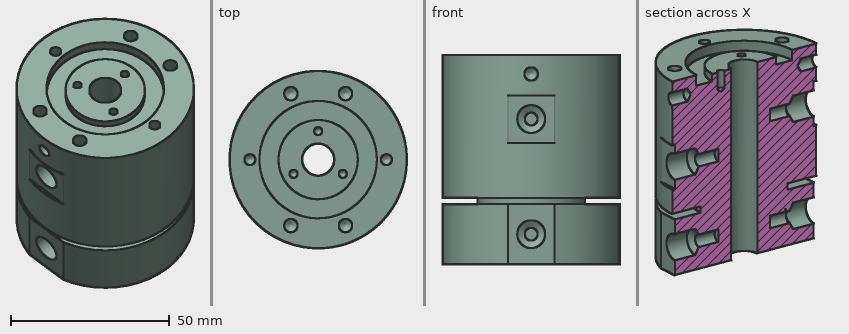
import cadquery as cq
import math

total_height = 66.0
body_diameter = 56.0
base_height = 19.0
neck_height = 2.0
neck_diameter = 34.0
upper_bottom = base_height + neck_height
body_radius = body_diameter / 2

recess_diameter = 37.0
recess_depth = 3.5
boss_diameter = 25.0
boss_setback = 1.0
recess_floor = total_height - recess_depth
boss_top = total_height - boss_setback
bore_diameter = 10.0

flat_distance = 27.0
pocket_height = 15.0
front_port_drop = 20.2
back_port_drop = 29.2
front_port_z = total_height - front_port_drop
back_port_z = total_height - back_port_drop
base_port_z = base_height / 2
port_diameter = 8.8
port_depth = 7.9
pilot_diameter = 4.0
pilot_end_radius = 10.0

drill_point_angle = 118.0
bolt_diameter = 4.2
bolt_circle_radius = 22.5
bolt_depth = 9.9
bolt_angle = 67.5
side_hole_diameter = 3.4
side_hole_radius = 21.5
side_hole_depth = 7.9
boss_hole_diameter = 2.5
boss_hole_radius = 9.0
boss_hole_depth = 5.95
boss_hole_count = 3
radial_hole_diameter = bolt_diameter
radial_hole_drop = 6.0
radial_hole_z = total_height - radial_hole_drop
radial_hole_depth = 5.95

FRONT = -1
BACK = 1


def cylinder(diameter, bottom, top):
    """Upright cylinder on the Z axis between two heights."""
    return cq.Workplane("XY").workplane(offset=bottom).circle(diameter / 2).extrude(top - bottom)


def drill(diameter, depth, start, direction):
    """Cutter for a blind hole whose full-diameter part is followed by a drill point."""
    radius = diameter / 2
    point_length = radius / math.tan(math.radians(drill_point_angle / 2))
    origin = cq.Vector(*start)
    axis = cq.Vector(*direction)
    shank = cq.Solid.makeCylinder(radius, depth, origin, axis)
    point = cq.Solid.makeCone(radius, 0, point_length, origin + axis * depth, axis)
    return cq.Workplane(shank.fuse(point))


def drill_down(body, diameter, depth, circle_radius, angle, top):
    """Drill a vertical hole at a polar position, starting at the given height."""
    x = circle_radius * math.cos(math.radians(angle))
    y = circle_radius * math.sin(math.radians(angle))
    return body.cut(drill(diameter, depth, (x, y, top), (0, 0, -1)))


def cut_flat(body, side, bottom, height):
    """Mill a flat on the given side over a range of heights."""
    mill_depth = body_radius - flat_distance
    cutter = cq.Workplane("XY").box(body_diameter, mill_depth, height, centered=(True, True, False))
    return body.cut(cutter.translate((0, side * (flat_distance + mill_depth / 2), bottom)))


def cut_port(body, side, z):
    """Drill a port into a flat, with a narrower flat-bottomed pilot hole beyond it."""
    start = (0, side * flat_distance, z)
    inward = (0, -side, 0)
    pilot_length = flat_distance - pilot_end_radius
    pilot = cq.Solid.makeCylinder(pilot_diameter / 2, pilot_length, cq.Vector(*start), cq.Vector(*inward))
    return body.cut(drill(port_diameter, port_depth, start, inward)).cut(cq.Workplane(pilot))


result = cylinder(body_diameter, 0, base_height)
result = result.union(cylinder(neck_diameter, base_height, upper_bottom))
result = result.union(cylinder(body_diameter, upper_bottom, total_height))

result = result.cut(cylinder(recess_diameter, recess_floor, total_height))
result = result.union(cylinder(boss_diameter, recess_floor, boss_top))
result = result.cut(cylinder(bore_diameter, 0, total_height))

for side, upper_port_z in ((FRONT, front_port_z), (BACK, back_port_z)):
    result = cut_flat(result, side, 0, base_height)
    result = cut_flat(result, side, upper_port_z - pocket_height / 2, pocket_height)
    result = cut_port(result, side, base_port_z)
    result = cut_port(result, side, upper_port_z)
    radial_start = (0, side * body_radius, radial_hole_z)
    result = result.cut(drill(radial_hole_diameter, radial_hole_depth, radial_start, (0, -side, 0)))

for angle in (bolt_angle, 180 - bolt_angle, 180 + bolt_angle, -bolt_angle):
    result = drill_down(result, bolt_diameter, bolt_depth, bolt_circle_radius, angle, total_height)
for angle in (0, 180):
    result = drill_down(result, side_hole_diameter, side_hole_depth, side_hole_radius, angle, total_height)

for index in range(boss_hole_count):
    angle = 90 + index * 360 / boss_hole_count
    result = drill_down(result, boss_hole_diameter, boss_hole_depth, boss_hole_radius, angle, boss_top)